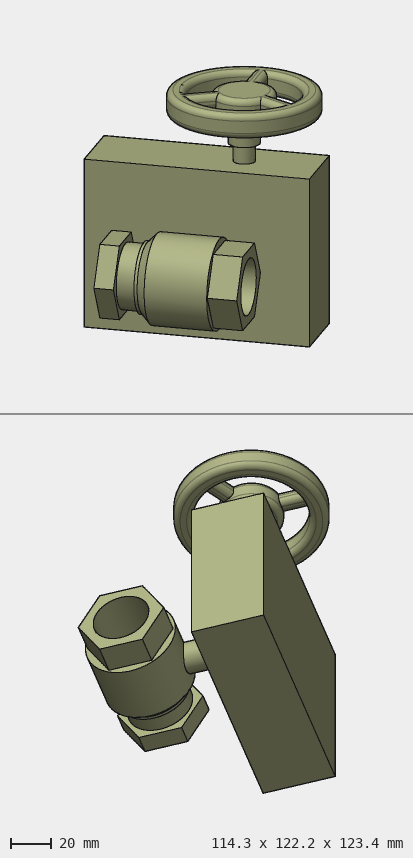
import cadquery as cq
import math

HOUSING_LENGTH = 114.3
HOUSING_DEPTH = 37.1
HOUSING_HEIGHT = 86.87

WHEEL_DIAMETER = 76.2
RIM_INNER_DIAMETER = 57.15
WHEEL_HUB_DIAMETER = 31.75
WHEEL_THICKNESS = 12.7
WHEEL_FILLET = 3.175
SPOKE_COUNT = 3
SPOKE_WIDTH = 8.13
SPOKE_THICKNESS = 8.13
FIRST_SPOKE_ANGLE = 90.0
STEM_DIAMETER = 10.92
SLEEVE_DIAMETER = 15.88
SLEEVE_LENGTH = 14.48
TOTAL_HEIGHT = 123.44
WHEEL_BOTTOM_Z = TOTAL_HEIGHT - WHEEL_THICKNESS
WHEEL_X = HOUSING_LENGTH - WHEEL_DIAMETER / 2

VALVE_LEFT_X = 22.6
VALVE_Y = -60.96
VALVE_Z = HOUSING_HEIGHT / 2
HEX_ACROSS_FLATS = 38.1
LEFT_HEX_LENGTH = 9.9
NECK_DIAMETER = 33.4
NECK_LENGTH = 9.4
COLLAR_DIAMETER = 36.45
COLLAR_LENGTH = 1.6
BODY_DIAMETER = 46.23
CONE_LENGTH = (BODY_DIAMETER - COLLAR_DIAMETER) / 2
BODY_LENGTH = 31.75
RIGHT_HEX_LENGTH = 14.9
BORE_DIAMETER = 28.57
SOCKET_DIAMETER = 29.4
SOCKET_DEPTH = 17.0

NECK_X = VALVE_LEFT_X + LEFT_HEX_LENGTH
COLLAR_X = NECK_X + NECK_LENGTH
CONE_X = COLLAR_X + COLLAR_LENGTH
BODY_X = CONE_X + CONE_LENGTH
RIGHT_HEX_X = BODY_X + BODY_LENGTH

CONNECTOR_DIAMETER = 15.88
CONNECTOR_X = 59.0

OVERLAP = 1.0


def cylinder_z(x, z_bottom, diameter, height):
    """Upright cylinder on the housing's middle plane."""
    return cq.Workplane("XY", origin=(x, 0, z_bottom)).circle(diameter / 2).extrude(height)


def make_housing():
    """Plain rectangular gear housing."""
    return cq.Workplane("XY").box(
        HOUSING_LENGTH, HOUSING_DEPTH, HOUSING_HEIGHT, centered=(False, True, False)
    )


def make_spoke(angle):
    """Round-edged spoke from the hub's axis to the middle of the rim, flush with the wheel's top."""
    length = (WHEEL_DIAMETER + RIM_INNER_DIAMETER) / 4
    spoke = (
        cq.Workplane("XY")
        .box(length, SPOKE_WIDTH, SPOKE_THICKNESS, centered=(False, True, False))
        .edges("|X")
        .fillet(WHEEL_FILLET)
    )
    spoke_bottom = TOTAL_HEIGHT - SPOKE_THICKNESS
    return spoke.rotate((0, 0, 0), (0, 0, 1), angle).translate((WHEEL_X, 0, spoke_bottom))


def make_handwheel():
    """Rounded rim and hub joined by evenly spaced spokes."""
    rim = (
        cq.Workplane("XY", origin=(WHEEL_X, 0, WHEEL_BOTTOM_Z))
        .circle(WHEEL_DIAMETER / 2)
        .circle(RIM_INNER_DIAMETER / 2)
        .extrude(WHEEL_THICKNESS)
        .edges("%CIRCLE")
        .fillet(WHEEL_FILLET)
    )
    hub = cylinder_z(WHEEL_X, WHEEL_BOTTOM_Z, WHEEL_HUB_DIAMETER, WHEEL_THICKNESS)
    wheel = rim.union(hub.edges("%CIRCLE").fillet(WHEEL_FILLET))
    for index in range(SPOKE_COUNT):
        wheel = wheel.union(make_spoke(FIRST_SPOKE_ANGLE + index * 360 / SPOKE_COUNT))
    return wheel


def make_shaft():
    """Stem out of the housing and the sleeve that carries the wheel."""
    sleeve_bottom = WHEEL_BOTTOM_Z - SLEEVE_LENGTH
    stem_bottom = HOUSING_HEIGHT - OVERLAP
    stem = cylinder_z(WHEEL_X, stem_bottom, STEM_DIAMETER, sleeve_bottom + OVERLAP - stem_bottom)
    sleeve = cylinder_z(WHEEL_X, sleeve_bottom, SLEEVE_DIAMETER, SLEEVE_LENGTH + OVERLAP)
    return stem.union(sleeve)


def valve_plane(x):
    """Plane across the valve axis, facing +X."""
    return cq.Workplane("YZ", origin=(x, VALVE_Y, VALVE_Z))


def make_hex(x, length):
    """Hexagon along X with its corners pointing to +Y and -Y."""
    across_corners = HEX_ACROSS_FLATS / math.cos(math.radians(30))
    return valve_plane(x).polygon(6, across_corners).extrude(length)


def make_valve():
    """Turned valve body, still without its bore, between two hexagon ends."""
    turned = (
        cq.Workplane("XY", origin=(0, VALVE_Y, VALVE_Z))
        .moveTo(NECK_X, 0)
        .lineTo(NECK_X, NECK_DIAMETER / 2)
        .lineTo(COLLAR_X, NECK_DIAMETER / 2)
        .lineTo(COLLAR_X, COLLAR_DIAMETER / 2)
        .lineTo(CONE_X, COLLAR_DIAMETER / 2)
        .lineTo(BODY_X, BODY_DIAMETER / 2)
        .lineTo(RIGHT_HEX_X, BODY_DIAMETER / 2)
        .lineTo(RIGHT_HEX_X, 0)
        .close()
        .revolve(360, (0, 0, 0), (1, 0, 0))
    )
    left_hex = make_hex(VALVE_LEFT_X, LEFT_HEX_LENGTH)
    right_hex = make_hex(RIGHT_HEX_X, RIGHT_HEX_LENGTH)
    return turned.union(left_hex).union(right_hex)


def make_bore():
    """Through bore with a slightly wider socket at the left end."""
    valve_length = RIGHT_HEX_X + RIGHT_HEX_LENGTH - VALVE_LEFT_X
    bore = valve_plane(VALVE_LEFT_X).circle(BORE_DIAMETER / 2).extrude(valve_length)
    socket = valve_plane(VALVE_LEFT_X).circle(SOCKET_DIAMETER / 2).extrude(SOCKET_DEPTH)
    return bore.union(socket)


def make_connector():
    """Cylinder along Y from inside the housing to the valve axis."""
    start_y = -HOUSING_DEPTH / 2 + OVERLAP
    return (
        cq.Workplane("XZ", origin=(CONNECTOR_X, start_y, VALVE_Z))
        .circle(CONNECTOR_DIAMETER / 2)
        .extrude(start_y - VALVE_Y)
    )


valve_side = make_valve().union(make_connector()).cut(make_bore())
wheel_side = make_handwheel().union(make_shaft())
result = make_housing().union(wheel_side).union(valve_side)